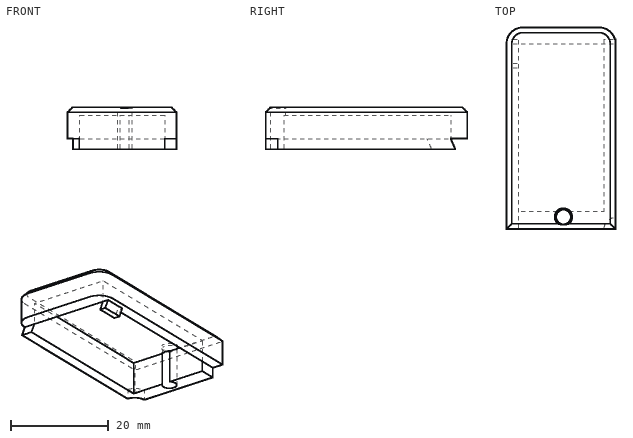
import cadquery as cq

WIDTH = 22.4
LENGTH = 41.4
HEIGHT = 8.7
CORNER_RADIUS = 3.4
TOP_CHAMFER = 1.1

SIDE_WALL = 2.45
FRONT_WALL = 3.68
REAR_WALL = CORNER_RADIUS
ROOF = 1.7

RIM_HEIGHT = 2.2
RIM_REAR = LENGTH - CORNER_RADIUS
RIM_LEAN = 0.95
SCOOP_RADIUS = SIDE_WALL

TAB_LEFT = 1.15
TAB_FRONT = 33.1

HOLE_DIAMETER = 3.0
HOLE_MOUTH_DIAMETER = 3.6
HOLE_X = 11.7
HOLE_Y = 2.5
MOUTH_DEPTH = (HOLE_MOUTH_DIAMETER - HOLE_DIAMETER) / 2


def make_block(x_range, y_range, z_range):
    """Box between the given limits along each axis."""
    limits = (x_range, y_range, z_range)
    sizes = [end - start for start, end in limits]
    corner = tuple(start for start, _ in limits)
    return cq.Workplane("XY").box(*sizes, centered=False).translate(corner)


def make_leaning_block(x_range, top_front, bottom_front):
    """Rim-high block whose rear face leans outwards towards the bottom."""
    left, right = x_range
    side = [
        (bottom_front, 0),
        (RIM_REAR + RIM_LEAN, 0),
        (RIM_REAR, RIM_HEIGHT),
        (top_front, RIM_HEIGHT),
    ]
    return cq.Workplane("YZ", origin=(left, 0, 0)).polyline(side).close().extrude(right - left)


def make_cap():
    """Upper block with two rounded rear corners and a chamfer around its top face."""
    cap = make_block((0, WIDTH), (0, LENGTH), (RIM_HEIGHT, HEIGHT))
    cap = cap.edges("|Z and >Y").fillet(CORNER_RADIUS)
    return cap.faces(">Z").chamfer(TOP_CHAMFER)


def make_rim():
    """Front wall, full right wall with a scooped front corner, and the left tab."""
    wall_right = WIDTH - SIDE_WALL
    front = make_block((SIDE_WALL, wall_right), (0, FRONT_WALL), (0, RIM_HEIGHT))
    right = make_leaning_block((wall_right, WIDTH), 0, 0)
    scoop = cq.Workplane("XY").center(WIDTH, 0).circle(SCOOP_RADIUS).extrude(RIM_HEIGHT)
    tab = make_leaning_block((TAB_LEFT, SIDE_WALL), TAB_FRONT, TAB_FRONT + RIM_LEAN)
    return front.union(right.cut(scoop)).union(tab)


def make_cavity():
    """Hollow above the rim, open towards the bottom."""
    return make_block(
        (SIDE_WALL, WIDTH - SIDE_WALL),
        (FRONT_WALL, LENGTH - REAR_WALL),
        (RIM_HEIGHT, HEIGHT - ROOF),
    )


def make_hole():
    """Through hole with a conical mouth at the top."""
    bore = cq.Workplane("XY").center(HOLE_X, HOLE_Y).circle(HOLE_DIAMETER / 2).extrude(HEIGHT)
    mouth = (
        cq.Workplane("XY", origin=(HOLE_X, HOLE_Y, HEIGHT - MOUTH_DEPTH))
        .circle(HOLE_DIAMETER / 2)
        .workplane(offset=MOUTH_DEPTH)
        .circle(HOLE_MOUTH_DIAMETER / 2)
        .loft()
    )
    return bore.union(mouth)


shell = make_cap().cut(make_cavity()).union(make_rim())
result = shell.cut(make_hole())